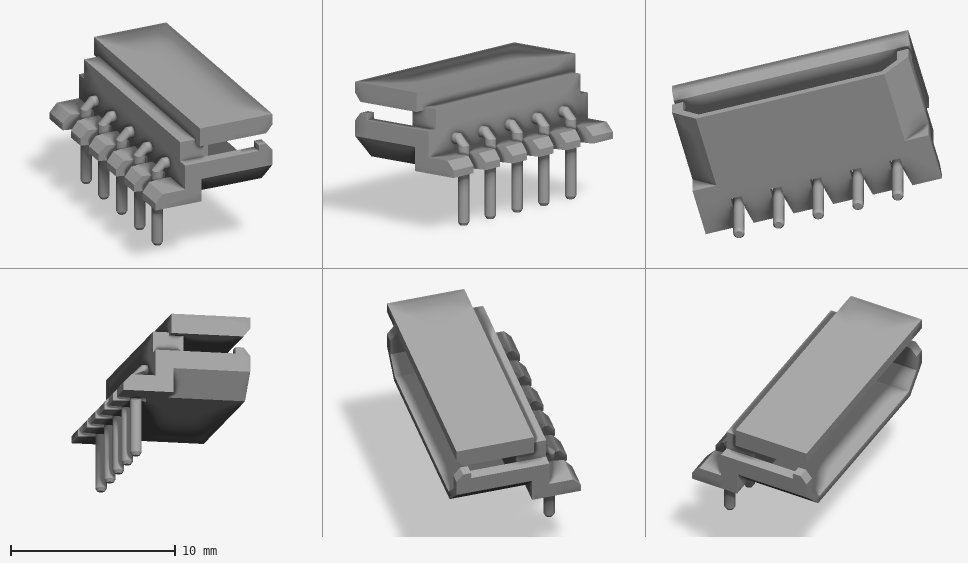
import cadquery as cq


length = 14.9
depth = 7.9
wall_front = 2.0
wall_thickness = 1.89
plate_front = 3.0
wall_back = wall_front + wall_thickness

foot_height = 1.0
tray_height = 2.61
lip_height = 3.01
plate_bottom = 3.7
wall_top = 3.89
plate_top = 4.9

foot_chamfer_depth = 0.49
foot_chamfer_height = 0.54
entry_chamfer_depth = 0.42
entry_chamfer_height = 0.5

side_wall = 0.7
floor_thickness = 0.45
lip_depth = 0.92
bevel = 1.5
bevel_front = 3.1

pin_count = 5
pitch = 2.5
pin_diameter = 0.7
pin_radius = pin_diameter / 2
pin_bottom = -3.5
pin_y = 1.3
pin_z = 1.82
pin_root = 0.6
tip_chamfer_height = 0.2
tip_chamfer_inset = 0.12

gap_clearance = 0.01
gap_width = pin_diameter + gap_clearance
gap_mouth_width = 1.18
gap_flare_start = 1.09

pin_positions = [(i - (pin_count - 1) / 2) * pitch for i in range(pin_count)]


def extrude_along_row(points):
    """Extrude a (y, z) outline along the full row length."""
    return cq.Workplane("YZ").polyline(points).close().extrude(length / 2, both=True)


def make_base():
    """Feet, lower wall and tray with its raised lip, still solid inside."""
    return extrude_along_row(
        [
            (0, 0),
            (depth, 0),
            (depth, lip_height - entry_chamfer_height),
            (depth - entry_chamfer_depth, lip_height),
            (depth - lip_depth, lip_height),
            (depth - lip_depth, tray_height),
            (wall_front, tray_height),
            (wall_front, foot_height),
            (foot_chamfer_depth, foot_height),
            (0, foot_height - foot_chamfer_height),
        ]
    )


def make_upper_wall():
    """Narrower wall that carries the top plate."""
    size_z = wall_top - tray_height
    wall = cq.Workplane("XY").rect(length - 2 * side_wall, wall_thickness).extrude(size_z)
    return wall.translate((0, wall_front + wall_thickness / 2, tray_height))


def make_top_plate():
    """Top plate with a lead-in chamfer under its mating edge."""
    return extrude_along_row(
        [
            (plate_front, plate_bottom),
            (depth - entry_chamfer_depth, plate_bottom),
            (depth, plate_bottom + entry_chamfer_height),
            (depth, plate_top),
            (plate_front, plate_top),
        ]
    )


def make_tray_cavity():
    """Tray interior: its lower corners run parallel to the outer bevels."""
    inner_sum = bevel + floor_thickness * 2**0.5
    half_top = length / 2 - side_wall
    half_floor = length / 2 - (inner_sum - floor_thickness)
    slope_top = inner_sum - side_wall
    outline = [
        (-half_floor, floor_thickness),
        (half_floor, floor_thickness),
        (half_top, slope_top),
        (half_top, lip_height),
        (-half_top, lip_height),
        (-half_top, slope_top),
    ]
    cavity = cq.Workplane("XZ").polyline(outline).close().extrude(-(depth - wall_back))
    return cavity.translate((0, wall_back, 0))


def make_bevel_cutter(side):
    """45 degree cut along a lower outer edge of the tray; side is -1 or 1."""
    edge = side * length / 2
    outline = [(edge, 0), (edge, bevel), (edge - side * bevel, 0)]
    cutter = cq.Workplane("XZ").polyline(outline).close().extrude(-(depth - bevel_front))
    return cutter.translate((0, bevel_front, 0))


def make_foot_gap(x):
    """Gap between two feet, flared towards the tip."""
    half_width = gap_width / 2
    half_mouth = gap_mouth_width / 2
    outline = [
        (-half_mouth, 0),
        (half_mouth, 0),
        (half_width, gap_flare_start),
        (half_width, wall_front),
        (-half_width, wall_front),
        (-half_width, gap_flare_start),
    ]
    return cq.Workplane("XY").polyline(outline).close().extrude(foot_height).translate((x, 0, 0))


def make_pin(x):
    """Bent pin: stub out of the wall, slanted elbow and tapered solder leg."""
    elbow_y = pin_y + pin_radius
    elbow_z = pin_z - pin_radius
    taper_top = pin_bottom + tip_chamfer_height

    leg = (
        cq.Workplane("XZ")
        .polyline(
            [
                (0, pin_bottom),
                (pin_radius - tip_chamfer_inset, pin_bottom),
                (pin_radius, taper_top),
                (pin_radius, elbow_z),
                (0, elbow_z),
            ]
        )
        .close()
        .revolve(360, (0, 0, 0), (0, 1, 0))
        .translate((0, pin_y, 0))
    )

    stub_end = cq.Plane((0, elbow_y, pin_z), xDir=(1, 0, 0), normal=(0, -1, 0))
    leg_end = cq.Plane((0, pin_y, elbow_z), xDir=(1, 0, 0), normal=(0, 0, -1))
    stub_length = wall_front + pin_root - elbow_y
    stub = cq.Workplane(stub_end).workplane(offset=-stub_length).circle(pin_radius).extrude(stub_length)
    end_circles = [cq.Workplane(plane).circle(pin_radius).wires().val() for plane in (stub_end, leg_end)]
    elbow = cq.Workplane(obj=cq.Solid.makeLoft(end_circles, True))
    return stub.union(elbow).union(leg).translate((x, 0, 0))


result = make_base().cut(make_tray_cavity())
for side in (-1, 1):
    result = result.cut(make_bevel_cutter(side))
for x in pin_positions:
    result = result.cut(make_foot_gap(x))
result = result.union(make_upper_wall()).union(make_top_plate())
for x in pin_positions:
    result = result.union(make_pin(x))